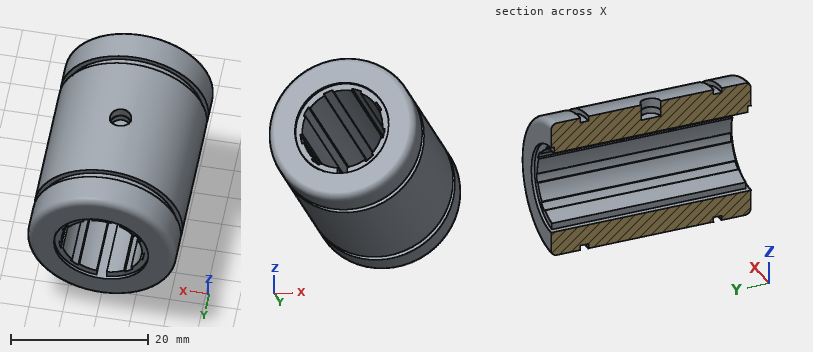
import cadquery as cq

SLEEVE_LENGTH = 32.0
SLEEVE_DIAMETER = 22.0
BORE_DIAMETER = 14.0
END_ROUNDING = 1.0

RING_GROOVE_DIAMETER = 20.5
RING_GROOVE_WIDTH = 1.3
RING_GROOVE_SPAN = 22.6

LINER_RECESS = 0.5
LINER_LENGTH = SLEEVE_LENGTH - 2 * LINER_RECESS
LINER_INNER_DIAMETER = 12.0
SPLIT_WIDTH = 1.5

FLUTE_PLACES = 9
FLUTE_STEP = 360.0 / FLUTE_PLACES
FLUTE_WIDTH = 1.4
FLUTE_BOTTOM_DIAMETER = 12.6

HOLE_MOUTH_DIAMETER = 3.1
HOLE_MOUTH_DEPTH = 1.5
HOLE_DIAMETER = 3.0
HOLE_DEPTH = 2.5


def cylinder(diameter, length):
    """Solid cylinder on the Y axis, centred on the origin."""
    end_plane = cq.Workplane("XZ").workplane(offset=-length / 2)
    return end_plane.circle(diameter / 2).extrude(length)


def ring(outer_diameter, inner_diameter, length):
    """Ring on the Y axis, centred on the origin."""
    return cylinder(outer_diameter, length).cut(cylinder(inner_diameter, length))


def lengthwise_slot(width, bottom_diameter, angle):
    """Cutter running along Y from the axis down to a round slot bottom, turned about Y from -Z."""
    radius = bottom_diameter / 2
    bar = cq.Workplane("XY").box(width, SLEEVE_LENGTH, radius).translate((0, 0, -radius / 2))
    bar = bar.intersect(cylinder(bottom_diameter, SLEEVE_LENGTH))
    return bar.rotate((0, 0, 0), (0, 1, 0), angle)


def make_sleeve():
    body = ring(SLEEVE_DIAMETER, BORE_DIAMETER, SLEEVE_LENGTH)
    outer_end_edges = cq.selectors.RadiusNthSelector(-1)
    body = body.edges(outer_end_edges).fillet(END_ROUNDING)
    groove = ring(SLEEVE_DIAMETER, RING_GROOVE_DIAMETER, RING_GROOVE_WIDTH)
    groove_offset = (RING_GROOVE_SPAN - RING_GROOVE_WIDTH) / 2
    for y in (-groove_offset, groove_offset):
        body = body.cut(groove.translate((0, y, 0)))
    return body


def make_liner():
    liner = ring(BORE_DIAMETER, LINER_INNER_DIAMETER, LINER_LENGTH)
    liner = liner.cut(lengthwise_slot(SPLIT_WIDTH, BORE_DIAMETER, 0))
    for place in range(1, FLUTE_PLACES):
        liner = liner.cut(lengthwise_slot(FLUTE_WIDTH, FLUTE_BOTTOM_DIAMETER, place * FLUTE_STEP))
    return liner


def hole_from_top(diameter, depth):
    """Vertical cutter reaching the given depth below the top of the sleeve."""
    top = cq.Workplane("XY").workplane(offset=SLEEVE_DIAMETER / 2)
    return top.circle(diameter / 2).extrude(-depth)


def make_locating_hole():
    mouth = hole_from_top(HOLE_MOUTH_DIAMETER, HOLE_MOUTH_DEPTH)
    return mouth.union(hole_from_top(HOLE_DIAMETER, HOLE_DEPTH))


result = make_sleeve().union(make_liner()).cut(make_locating_hole())